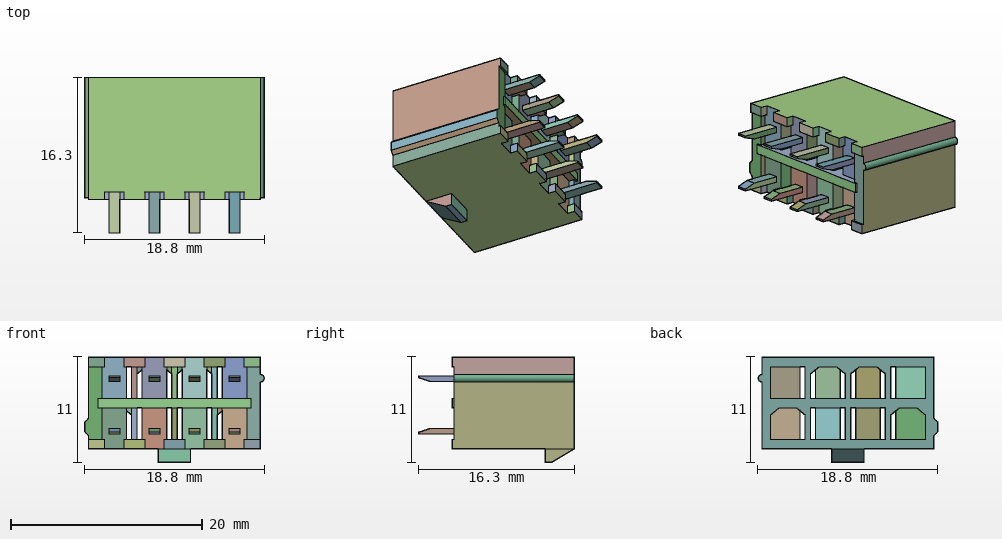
import cadquery as cq


body_width = 18.0
body_depth = 12.8
body_height = 9.6
wall = 1.0
face_recess = 0.2
half_width = body_width / 2
mid_height = body_height / 2

columns = 4
column_pitch = 4.2
row_pitch = 5.5
column_xs = [(i - (columns - 1) / 2) * column_pitch for i in range(columns)]
pin_drop = 0.2
row_zs = [mid_height - pin_drop + side * row_pitch / 2 for side in (-1, 1)]

block_width = 2.6
block_recess = 0.8
block_depth = 2.0
floor_back = block_recess + block_depth
notch_width = 2.0
divider_bar_width = 16.0

partition = 0.6
partition_recess = 2.4
cavity_width = column_pitch - partition
cavity_height = (body_height - 3 * wall) / 2
cavity_chamfer_x = 0.9
cavity_chamfer_z = 0.75
keyed_columns = {0: (0, columns - 1), 1: range(1, columns - 1)}

pin_width = 1.15
pin_thickness = 0.6
pin_reach = 3.5
pin_taper_length = 1.2
pin_tip_thickness = 0.2

ridge_height = 0.4
ridge_bottom = 1.4
ridge_top = 3.2
bead_radius = 0.4
bead_z = body_height - 2.2
latch_width = 3.4
latch_drop = 1.4
latch_length = 3.05
latch_flat = 0.7


def box(x0, x1, y0, y1, z0, z1):
    """Axis-aligned box between two corners."""
    return cq.Workplane("XY").box(x1 - x0, y1 - y0, z1 - z0, centered=False).translate((x0, y0, z0))


def along_y(profile, y0, y1):
    """Extrude a closed XZ profile from y0 to y1."""
    return profile.extrude(y0 - y1).translate((0, y0, 0))


def along_x(points, x_center, width):
    """Extrude a closed YZ outline symmetrically about x_center."""
    solid = cq.Workplane("YZ").polyline(points).close().extrude(width / 2, both=True)
    return solid.translate((x_center, 0, 0))


def row_floor(row):
    """Lower face of the cavities and floor openings in a row."""
    return wall + row * (cavity_height + wall)


def cavity(column, row):
    """Cavity open at the back; keyed cavities have both upper corners cut."""
    x0 = column_xs[column] - cavity_width / 2
    x1 = x0 + cavity_width
    z0 = row_floor(row)
    z1 = z0 + cavity_height
    outline = [(x0, z0), (x1, z0)]
    if column in keyed_columns[row]:
        outline += [
            (x1, z1 - cavity_chamfer_z),
            (x1 - cavity_chamfer_x, z1),
            (x0 + cavity_chamfer_x, z1),
            (x0, z1 - cavity_chamfer_z),
        ]
    else:
        outline += [(x1, z1), (x0, z1)]
    return along_y(cq.Workplane("XZ").polyline(outline).close(), floor_back, body_depth)


def front_pockets(row):
    """Recess over the blocks of a row, and openings between blocks with a set-back web in each."""
    z0 = row_floor(row)
    z1 = z0 + cavity_height
    pocket_half = column_xs[-1] + block_width / 2
    pockets = box(-pocket_half, pocket_half, 0, block_recess, z0, z1)
    for left, right in zip(column_xs, column_xs[1:]):
        gap = box(left + block_width / 2, right - block_width / 2, 0, floor_back, z0, z1)
        middle = (left + right) / 2
        web = box(middle - partition / 2, middle + partition / 2, partition_recess, floor_back, z0, z1)
        pockets = pockets.union(gap.cut(web))
    return pockets


def tab_notches():
    """Notches through the front edges of the top and bottom walls, one per column."""
    notches = cq.Workplane("XY")
    for x in column_xs:
        x0 = x - notch_width / 2
        for z0 in (0, body_height - wall):
            notches = notches.add(box(x0, x0 + notch_width, 0, block_recess, z0, z0 + wall))
    return notches.combine()


def side_face_recesses():
    """Shallow step that sets the side wall faces behind the tabs and the divider bar."""
    band = box(-half_width, half_width, 0, face_recess, wall, body_height - wall)
    bar_half = divider_bar_width / 2
    bar = box(-bar_half, bar_half, 0, face_recess, mid_height - wall / 2, mid_height + wall / 2)
    return band.cut(bar)


def pin(x, z, outward):
    """Pin with its inner side tapered at the tip; outward is +1 for the upper row, -1 for the lower."""
    outer = z + outward * pin_thickness / 2
    inner = z - outward * pin_thickness / 2
    tip_inner = outer - outward * pin_tip_thickness
    outline = [
        (block_recess, outer),
        (-pin_reach, outer),
        (-pin_reach, tip_inner),
        (-pin_reach + pin_taper_length, inner),
        (block_recess, inner),
    ]
    return along_x(outline, x, pin_width)


def side_ridge():
    """Bevelled ridge along the -X side."""
    outline = [
        (-half_width, ridge_bottom),
        (-half_width - ridge_height, ridge_bottom + ridge_height),
        (-half_width - ridge_height, ridge_top - ridge_height),
        (-half_width, ridge_top),
    ]
    return along_y(cq.Workplane("XZ").polyline(outline).close(), face_recess, body_depth)


def side_bead():
    """Half-round bead along the +X side."""
    profile = (
        cq.Workplane("XZ")
        .moveTo(half_width, bead_z - bead_radius)
        .threePointArc((half_width + bead_radius, bead_z), (half_width, bead_z + bead_radius))
        .close()
    )
    return along_y(profile, face_recess, body_depth)


def latch():
    """Ramped latch under the back edge of the body."""
    front = body_depth - latch_length
    outline = [
        (body_depth, 0),
        (front, 0),
        (front, -latch_drop),
        (front + latch_flat, -latch_drop),
    ]
    return along_x(outline, 0, latch_width)


housing = box(-half_width, half_width, 0, body_depth, 0, body_height)
for row in range(len(row_zs)):
    housing = housing.cut(front_pockets(row))
    for column in range(columns):
        housing = housing.cut(cavity(column, row))
housing = housing.cut(tab_notches()).cut(side_face_recesses())
housing = housing.union(side_ridge()).union(side_bead()).union(latch())

for x in column_xs:
    for z, outward in zip(row_zs, (-1, 1)):
        housing = housing.union(pin(x, z, outward))

result = housing